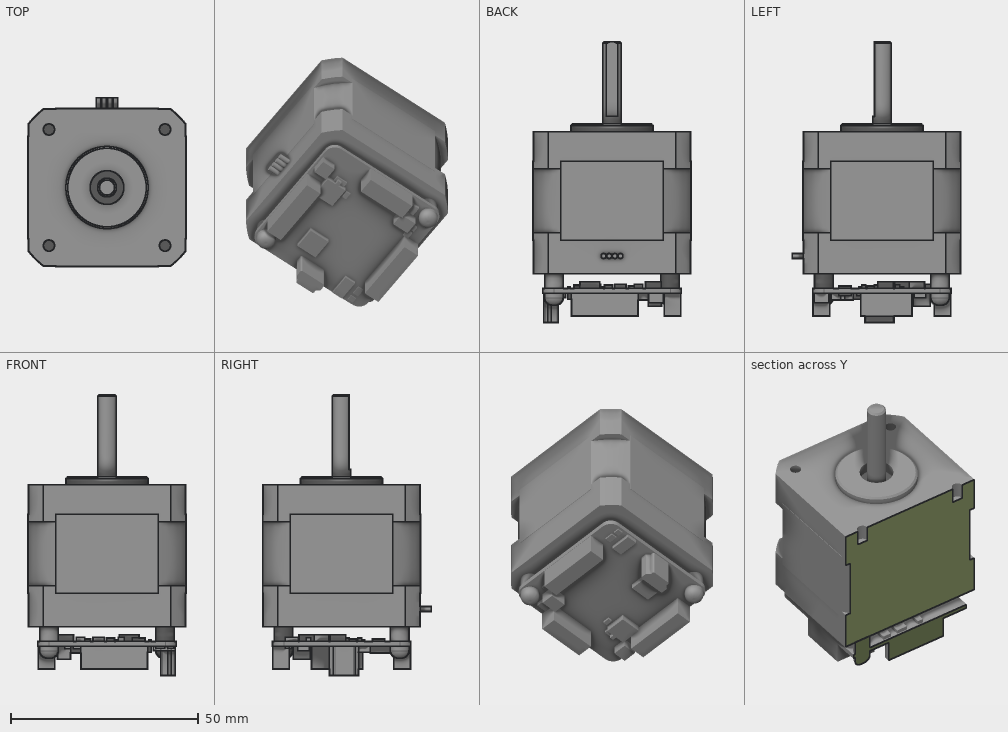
import cadquery as cq
import math


housing_side = 42.0
housing_height = 38.0
end_corner_radius = 27.0
front_cap_height = 10.0
rear_cap_height = 11.0
plate_width = 27.3
plate_height = 21.0
plate_thickness = 0.1
hole_pitch = 31.0
screw_hole_diameter = 3.0
screw_hole_depth = 4.5

boss_diameter = 22.0
boss_height = 2.0
boss_bore_diameter = 9.0
boss_bore_depth = 3.0
shaft_diameter = 5.0
overall_height = 75.0
shaft_top = 62.0
shaft_flat_depth = 0.5
shaft_flat_start = 2.0
edge_chamfer = 0.5

lead_count = 4
lead_pitch = 1.5
lead_diameter = 1.35
lead_length = 3.0
lead_height = 4.8

board_side = 37.0
board_thickness = 1.35
standoff_height = 3.8
standoff_diameter = 5.0
screw_head_height = 3.15
screw_head_fillet = 2.0

terminal_depth = 4.5
terminal_inset = 0.1
terminal_height = 6.1
wide_terminal_length = 17.85
wide_terminal_x = 1.95
side_terminal_length = 13.7
side_terminal_y = -1.2
usb_width = 7.8
usb_narrow_width = 5.85
usb_wide_thickness = 1.95
usb_slope_end = 2.8
usb_thickness = 3.9
usb_corner_radius = 0.45
usb_x = 14.3
usb_y = 0.7

half_side = housing_side / 2
half_pitch = hole_pitch / 2
half_board = board_side / 2
middle_corner_radius = math.hypot(half_side, plate_width / 2)
boss_top = housing_height + boss_height
board_top = -standoff_height
board_bottom = board_top - board_thickness
board_corner_radius = half_board - half_pitch
usb_height = board_bottom - (shaft_top - overall_height)


def turned_block(corner_radius, bottom, height):
    """Square block whose corners are turned down to a radius about the motor axis."""
    square = cq.Workplane("XY").box(housing_side, housing_side, height, centered=(True, True, False))
    turning = cq.Workplane("XY").circle(corner_radius).extrude(height)
    return square.intersect(turning).translate((0, 0, bottom))


def box_between(x_min, x_max, y_min, y_max, bottom, height):
    return (
        cq.Workplane("XY")
        .box(x_max - x_min, y_max - y_min, height, centered=False)
        .translate((x_min, y_min, bottom))
    )


def make_housing():
    middle_height = housing_height - front_cap_height - rear_cap_height
    housing = turned_block(end_corner_radius, 0, rear_cap_height)
    housing = housing.union(turned_block(middle_corner_radius, rear_cap_height, middle_height))
    housing = housing.union(
        turned_block(end_corner_radius, housing_height - front_cap_height, front_cap_height)
    )
    slab_length = housing_side + 2 * plate_thickness
    cap_overlap = (plate_height - middle_height) / 2
    plate_bottom = rear_cap_height - cap_overlap
    for length_x, length_y in ((slab_length, plate_width), (plate_width, slab_length)):
        slab = cq.Workplane("XY").box(length_x, length_y, plate_height, centered=(True, True, False))
        housing = housing.union(slab.translate((0, 0, plate_bottom)))
    return housing


def make_boss():
    return (
        cq.Workplane("XY", origin=(0, 0, housing_height))
        .circle(boss_diameter / 2)
        .extrude(boss_height)
        .faces(">Z")
        .chamfer(edge_chamfer)
    )


def make_shaft():
    shaft_bottom = boss_top - boss_bore_depth
    shaft = (
        cq.Workplane("XY", origin=(0, 0, shaft_bottom))
        .circle(shaft_diameter / 2)
        .extrude(shaft_top - shaft_bottom)
        .faces(">Z")
        .chamfer(edge_chamfer)
    )
    radius = shaft_diameter / 2
    flat_bottom = boss_top + shaft_flat_start
    flat_cut = box_between(
        -radius, radius, radius - shaft_flat_depth, radius, flat_bottom, shaft_top - flat_bottom
    )
    return shaft.cut(flat_cut)


def make_leads():
    """Row of round leads leaving the +Y side of the rear cap."""
    leads = cq.Workplane("XY")
    for index in range(lead_count):
        x = (index - (lead_count - 1) / 2) * lead_pitch
        lead = (
            cq.Workplane("XZ", origin=(x, half_side, lead_height))
            .circle(lead_diameter / 2)
            .extrude(-lead_length)
        )
        leads = leads.add(lead)
    return leads


def make_motor():
    motor = make_housing().union(make_boss())
    bore = (
        cq.Workplane("XY", origin=(0, 0, boss_top))
        .circle(boss_bore_diameter / 2)
        .extrude(-boss_bore_depth)
    )
    screw_holes = (
        cq.Workplane("XY", origin=(0, 0, housing_height))
        .rect(hole_pitch, hole_pitch, forConstruction=True)
        .vertices()
        .circle(screw_hole_diameter / 2)
        .extrude(-screw_hole_depth)
    )
    motor = motor.cut(bore).cut(screw_holes).union(make_shaft())
    for lead in make_leads().vals():
        motor = motor.union(lead)
    return motor


def make_standoff(x, y):
    return cq.Workplane("XY", origin=(x, y, board_top)).circle(standoff_diameter / 2).extrude(standoff_height)


def make_screw_head(x, y):
    return (
        cq.Workplane("XY", origin=(x, y, board_bottom))
        .circle(standoff_diameter / 2)
        .extrude(-screw_head_height)
        .faces("<Z")
        .edges()
        .fillet(screw_head_fillet)
    )


def above_board(x_min, x_max, y_min, y_max, height):
    return box_between(x_min, x_max, y_min, y_max, board_top, height)


def below_board(x_min, x_max, y_min, y_max, height):
    return box_between(x_min, x_max, y_min, y_max, board_bottom - height, height)


def make_terminals():
    """Two wide terminal blocks on the Y edges and a shorter one on the -X edge."""
    wide_left = wide_terminal_x - wide_terminal_length / 2
    wide_right = wide_terminal_x + wide_terminal_length / 2
    side_front = side_terminal_y - side_terminal_length / 2
    side_back = side_terminal_y + side_terminal_length / 2
    outer = half_board - terminal_inset
    inner = outer - terminal_depth
    return [
        below_board(wide_left, wide_right, -outer, -inner, terminal_height),
        below_board(wide_left, wide_right, inner, outer, terminal_height),
        below_board(-outer, -inner, side_front, side_back, terminal_height),
    ]


def make_usb_socket():
    """Upright socket shell: wide towards the board centre, sloping in to a narrower outer part."""
    half_wide = usb_width / 2
    half_narrow = usb_narrow_width / 2
    outline = [
        (0, -half_wide),
        (usb_wide_thickness, -half_wide),
        (usb_slope_end, -half_narrow),
        (usb_thickness, -half_narrow),
        (usb_thickness, half_narrow),
        (usb_slope_end, half_narrow),
        (usb_wide_thickness, half_wide),
        (0, half_wide),
    ]
    shell = cq.Workplane("XY", origin=(usb_x, usb_y, board_bottom)).polyline(outline).close()
    shell = shell.extrude(-usb_height)
    shell = shell.edges("|Z and <X").fillet(usb_corner_radius)
    return shell.edges("|Z and >X").fillet(usb_corner_radius)


def make_upper_components():
    tall = 1.8
    medium = 1.1
    low = 0.9
    thin = 0.7
    chip = 0.45
    return [
        above_board(-13.1, -8.9, -11.4, -7.3, tall),
        above_board(3.2, 8.55, -7.3, -3.4, tall),
        above_board(3.2, 8.55, -3.1, 1.1, tall),
        above_board(-8.25, -5.9, -15.0, -11.5, medium),
        above_board(-3.75, -0.7, -15.0, -11.5, medium),
        above_board(3.0, 4.6, -15.0, -11.5, medium),
        above_board(-0.15, 2.0, -4.7, -3.6, low),
        above_board(-0.15, 2.0, 1.1, 2.0, low),
        above_board(-0.15, 2.0, 4.3, 5.4, low),
        above_board(6.75, 10.2, -9.4, -8.25, low),
        above_board(-5.9, -4.35, 8.25, 11.55, thin),
        above_board(8.6, 10.2, 2.0, 4.05, thin),
        above_board(2.3, 2.9, -5.8, -4.9, chip),
        above_board(11.2, 11.8, 5.4, 6.15, chip),
    ]


def make_lower_components():
    tall = 3.45
    block = 2.55
    chip = 1.8
    flat_chip = 1.6
    medium = 1.1
    thin = 0.7
    flake = 0.45
    return [
        below_board(-13.65, -9.75, 14.2, 18.0, block),
        below_board(-13.3, -9.7, -12.9, -8.25, tall),
        below_board(-9.7, -3.75, 7.65, 13.6, chip),
        below_board(-10.9, -9.7, 9.9, 10.95, chip),
        below_board(5.9, 11.85, 1.7, 7.65, flat_chip),
        below_board(-11.25, -9.7, 8.25, 11.55, thin),
        below_board(-9.0, -7.05, 5.55, 6.75, thin),
        below_board(-16.5, -13.9, -11.7, -8.6, medium),
        below_board(12.3, 18.15, -11.7, -8.6, medium),
        below_board(-11.25, -9.7, -15.0, -13.35, thin),
        below_board(-9.0, -7.05, -15.0, -13.35, thin),
        below_board(13.0, 15.4, -15.0, -13.35, flake),
        below_board(16.3, 17.8, -15.0, -13.35, flake),
    ]


def make_driver_board():
    board = (
        cq.Workplane("XY", origin=(0, 0, board_bottom))
        .rect(board_side, board_side)
        .extrude(board_thickness)
        .edges("|Z")
        .fillet(board_corner_radius)
    )
    for x, y in ((-half_pitch, -half_pitch), (half_pitch, half_pitch)):
        board = board.union(make_standoff(x, y)).union(make_screw_head(x, y))
    for block in make_terminals() + make_upper_components() + make_lower_components():
        board = board.union(block)
    return board.union(make_usb_socket())


motor = make_motor()
driver_board = make_driver_board()

result = cq.Compound.makeCompound([motor.val(), driver_board.val()])